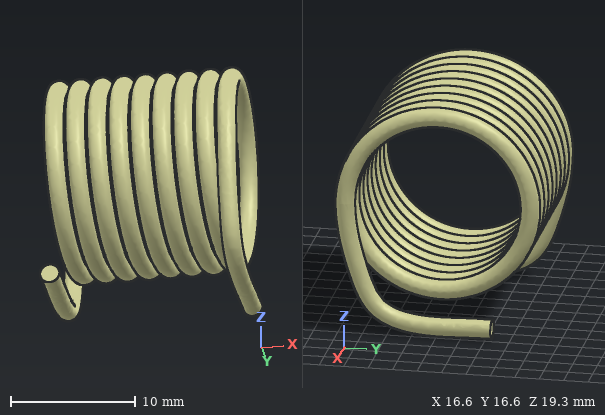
import cadquery as cq

outer_diameter = 16.6
wire_diameter = 1.6
turns = 8.5
total_height = 19.32

wire_radius = wire_diameter / 2
mean_radius = (outer_diameter - wire_diameter) / 2
coil_length = outer_diameter - wire_diameter
pitch = coil_length / turns
start_x = -coil_length / 2

foot_height = outer_diameter / 2 - total_height + wire_radius
foot_reach = 4.52
bend_across = 4.64
bend_rise = 1.14
shank_across = 6.38
shank_height = -5.99
foot_rise = 0.08


def make_coil():
    """Round wire wound around X, from the +Y side over the top to the -Y side."""
    path = cq.Wire.makeHelix(pitch, coil_length, mean_radius)
    profile = cq.Workplane("XZ").center(mean_radius, 0).circle(wire_radius)
    coil = profile.sweep(cq.Workplane(obj=path), isFrenet=True)
    coil = coil.rotate((0, 0, 0), (1, 1, 1), 120)
    return coil.translate((start_x, 0, 0))


def make_leg(x, side):
    """Leg that drops from the coil on one side and turns in to a foot along Y."""
    across_and_height = [
        (mean_radius, 0),
        (shank_across, shank_height),
        (bend_across, foot_height + bend_rise),
        (0, foot_height),
        (-foot_reach, foot_height + foot_rise),
    ]
    points = [(side * across, height) for across, height in across_and_height]
    path = cq.Workplane("YZ", origin=(x, 0, 0)).spline(
        points, tangents=[(0, -1), (-side, 0)]
    )
    start = cq.Workplane("XY", origin=(x, side * mean_radius, 0))
    return start.circle(wire_radius).sweep(path)


coil = make_coil()
start_leg = make_leg(start_x, 1)
end_leg = make_leg(-start_x, -1)
result = coil.union(start_leg).union(end_leg)